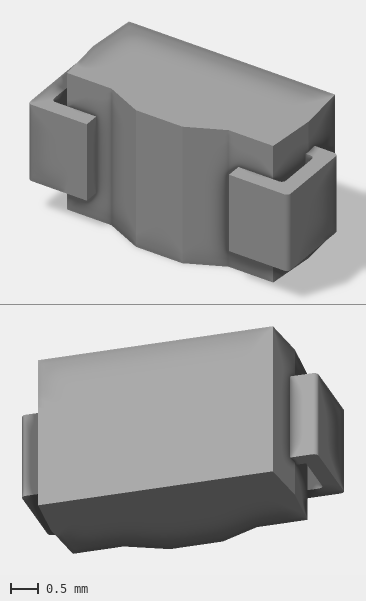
import cadquery as cq

BODY_HEIGHT = 2.92
BODY_BACK_HALF_WIDTH = 2.215
BODY_MID_HALF_WIDTH = 2.305
BODY_HALF_DEPTH = 1.02
BUMP_BASE_HALF_WIDTH = 1.26
BUMP_TIP_HALF_WIDTH = 0.5
BUMP_DEPTH = 0.36

OVERALL_LENGTH = 5.59
OVERALL_DEPTH = 2.43
LEAD_HEIGHT = 1.63
LEAD_DEPTH = 1.645
LEAD_THICKNESS = 0.31
LEAD_BEND_RADIUS = 0.09
FOOT_TIP_X = 1.525

BACK_Y = OVERALL_DEPTH / 2
FOOT_Y = -OVERALL_DEPTH / 2
MID_Y = BACK_Y - BODY_HALF_DEPTH
FRONT_Y = MID_Y - BODY_HALF_DEPTH
BUMP_Y = FRONT_Y - BUMP_DEPTH
LEAD_TOP_Y = FOOT_Y + LEAD_DEPTH


def make_body():
    """Tapered block with a trapezoidal bump on its front face."""
    right_side = [
        (BODY_BACK_HALF_WIDTH, BACK_Y),
        (BODY_MID_HALF_WIDTH, MID_Y),
        (BODY_BACK_HALF_WIDTH, FRONT_Y),
        (BUMP_BASE_HALF_WIDTH, FRONT_Y),
        (BUMP_TIP_HALF_WIDTH, BUMP_Y),
    ]
    left_side = [(-x, y) for x, y in reversed(right_side)]
    outline = cq.Workplane("XY").polyline(right_side + left_side).close()
    return outline.extrude(BODY_HEIGHT / 2, both=True)


def make_lead(rounded_inner_arm):
    """C-shaped lead at the +X end, its upper arm rooted inside the body.

    The inner corner below the upper arm is rounded only if rounded_inner_arm is true.
    """
    outer_x = OVERALL_LENGTH / 2
    inner_x = outer_x - LEAD_THICKNESS
    arm_y = LEAD_TOP_Y - LEAD_THICKNESS
    foot_top_y = FOOT_Y + LEAD_THICKNESS
    root_x = BODY_BACK_HALF_WIDTH - LEAD_THICKNESS
    outline = [
        (root_x, LEAD_TOP_Y),
        (outer_x, LEAD_TOP_Y),
        (outer_x, FOOT_Y),
        (FOOT_TIP_X, FOOT_Y),
        (FOOT_TIP_X, foot_top_y),
        (inner_x, foot_top_y),
        (inner_x, arm_y),
        (root_x, arm_y),
    ]
    strip = cq.Workplane("XY").polyline(outline).close().extrude(LEAD_HEIGHT / 2, both=True)

    bends = [(outer_x, LEAD_TOP_Y), (outer_x, FOOT_Y), (inner_x, foot_top_y)]
    if rounded_inner_arm:
        bends.append((inner_x, arm_y))
    for x, y in bends:
        bend_edge = cq.selectors.NearestToPointSelector((x, y, 0))
        strip = strip.edges("|Z").edges(bend_edge).fillet(LEAD_BEND_RADIUS)
    return strip


right_lead = make_lead(rounded_inner_arm=True)
left_lead = make_lead(rounded_inner_arm=False).mirror("YZ")
result = make_body().union(right_lead).union(left_lead)